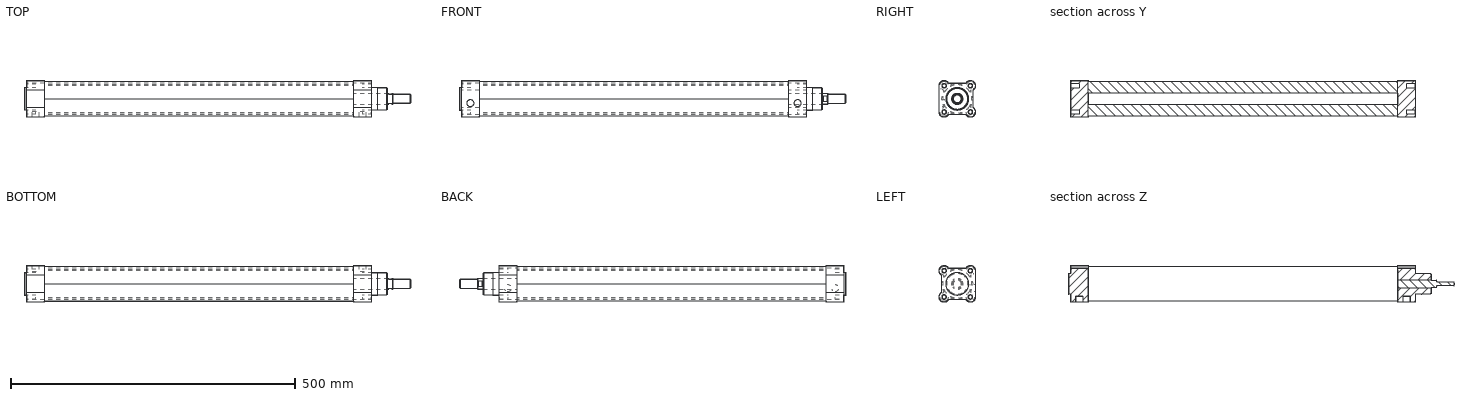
import cadquery as cq
import math

REAR_FACE = 3.5
CAP_LENGTH = 31.0
FRONT_FACE = 610.0
COLLAR_STEP = 621.0
COLLAR_END = 638.0
ROD_SHOULDER = 648.0
TIP = 679.0
TUBE_START = REAR_FACE + CAP_LENGTH
TUBE_END = FRONT_FACE - CAP_LENGTH

CAP_SIZE = 64.5
HALF_CAP = CAP_SIZE / 2
SCREW_SPACING = 46.0
SCREW_OFFSET = SCREW_SPACING / 2
LOBE_RADIUS = HALF_CAP - SCREW_OFFSET
CAP_RECESS = 4.5
HALF_BLOCK = HALF_CAP - CAP_RECESS

SCREW_HOLE_DIAMETER = 7.0
SCREW_HOLE_DEPTH = 15.5
SCREW_HOLE_CHAMFER = 1.0

PORT_DIAMETER = 12.0
PORT_DEPTH = 10.0
PORT_DROP = 7.5

BOSS_DIAMETER = 40.0
NOSE_DIAMETER = 39.5
COLLAR_CHAMFER = 1.5

TUBE_SIZE = 61.0
RIB_RADIUS = TUBE_SIZE / 2 - SCREW_OFFSET
BARREL_RADIUS = 27.0
BORE_RADIUS = 25.0
RIB_FILLET = 2.0
RIDGE_HALF_WIDTH = 5.1

ROD_DIAMETER = 20.0
ROD_CHAMFER = 1.5
FLAT_WIDTH = 17.0
FLAT_MARGIN = 2.0
THREAD_DIAMETER = 16.0
THREAD_CHAMFER = 1.5


def plane_at(x):
    """Plane across the axis at x, with local axes Y and Z."""
    return cq.Workplane("YZ", origin=(x, 0, 0))


def corner_points():
    """Places of the four corner screws in the YZ plane."""
    return [(y, z) for y in (-SCREW_OFFSET, SCREW_OFFSET) for z in (-SCREW_OFFSET, SCREW_OFFSET)]


def cap_block(start):
    """Cap with round corner lobes, recessed between them on every side but -Y."""
    block = plane_at(start).rect(2 * HALF_BLOCK, 2 * HALF_BLOCK).extrude(CAP_LENGTH)
    lobes = plane_at(start).pushPoints(corner_points()).circle(LOBE_RADIUS).extrude(CAP_LENGTH)
    port_pad = (
        plane_at(start)
        .center(-(HALF_CAP + SCREW_OFFSET) / 2, 0)
        .rect(LOBE_RADIUS, 2 * SCREW_OFFSET)
        .extrude(CAP_LENGTH)
    )
    port = (
        cq.Workplane("XZ", origin=(start + CAP_LENGTH / 2, -HALF_CAP, -PORT_DROP))
        .circle(PORT_DIAMETER / 2)
        .extrude(-PORT_DEPTH)
    )
    return block.union(lobes).union(port_pad).cut(port)


def screw_holes(face_x, direction):
    """Blind holes going in from a cap's outer face, each with a countersunk mouth."""
    mouth_radius = SCREW_HOLE_DIAMETER / 2 + SCREW_HOLE_CHAMFER
    holes = (
        plane_at(face_x)
        .pushPoints(corner_points())
        .circle(SCREW_HOLE_DIAMETER / 2)
        .extrude(direction * SCREW_HOLE_DEPTH)
    )
    mouths = (
        plane_at(face_x)
        .pushPoints(corner_points())
        .circle(mouth_radius)
        .extrude(direction * SCREW_HOLE_CHAMFER, taper=45)
    )
    return holes.union(mouths)


def make_rear_cap():
    boss = plane_at(0).circle(BOSS_DIAMETER / 2).extrude(REAR_FACE)
    return cap_block(REAR_FACE).union(boss).cut(screw_holes(REAR_FACE, 1))


def make_front_cap():
    collar_root = plane_at(FRONT_FACE).circle(BOSS_DIAMETER / 2).extrude(COLLAR_STEP - FRONT_FACE)
    collar_nose = (
        plane_at(COLLAR_STEP)
        .circle(NOSE_DIAMETER / 2)
        .extrude(COLLAR_END - COLLAR_STEP)
        .faces(">X")
        .chamfer(COLLAR_CHAMFER)
    )
    rod_bore = plane_at(TUBE_END).circle(ROD_DIAMETER / 2).extrude(COLLAR_END - TUBE_END)
    cap = cap_block(TUBE_END).union(collar_root).union(collar_nose)
    return cap.cut(screw_holes(FRONT_FACE, -1)).cut(rod_bore)


def rib_fillet(length):
    """Fill between the barrel and a rib straight above it (+Z), bounded by two hollow arcs."""
    rib_distance = SCREW_OFFSET * math.sqrt(2)
    arc_distance = BARREL_RADIUS + RIB_FILLET
    rib_to_arc = RIB_RADIUS + RIB_FILLET
    along = (arc_distance**2 + rib_distance**2 - rib_to_arc**2) / (2 * rib_distance)
    aside = math.sqrt(arc_distance**2 - along**2)
    arc_centers = [(-aside, along), (aside, along)]
    web = (
        plane_at(TUBE_START)
        .polyline([(0, 0), arc_centers[0], (0, rib_distance), arc_centers[1]])
        .close()
        .extrude(length)
    )
    return web.cut(plane_at(TUBE_START).pushPoints(arc_centers).circle(RIB_FILLET).extrude(length))


def barrel_ridge(length):
    """Low ridge along the +Z side of the barrel, whose two flats run tangent into it."""
    tangent_height = math.sqrt(BARREL_RADIUS**2 - RIDGE_HALF_WIDTH**2)
    crest = BARREL_RADIUS**2 / tangent_height
    left_edge = (-RIDGE_HALF_WIDTH, tangent_height)
    right_edge = (RIDGE_HALF_WIDTH, tangent_height)
    return (
        plane_at(TUBE_START)
        .polyline([(0, 0), right_edge, (0, crest), left_edge])
        .close()
        .extrude(length)
    )


def make_tube():
    length = TUBE_END - TUBE_START
    barrel = plane_at(TUBE_START).circle(BARREL_RADIUS).extrude(length)
    ribs = plane_at(TUBE_START).pushPoints(corner_points()).circle(RIB_RADIUS).extrude(length)
    outside = barrel.union(ribs)
    for quarter in range(4):
        turn = 90 * quarter
        outside = outside.union(rib_fillet(length).rotate((0, 0, 0), (1, 0, 0), turn + 45))
        outside = outside.union(barrel_ridge(length).rotate((0, 0, 0), (1, 0, 0), turn))
    return outside.cut(plane_at(TUBE_START).circle(BORE_RADIUS).extrude(length))


def wrench_flats():
    """Material taken off the -Y and +Y sides of the rod, just short of its shoulder."""
    start = COLLAR_END + FLAT_MARGIN
    length = ROD_SHOULDER - FLAT_MARGIN - start
    stock = plane_at(start).rect(2 * ROD_DIAMETER, 2 * ROD_DIAMETER).extrude(length)
    kept = plane_at(start).rect(FLAT_WIDTH, 2 * ROD_DIAMETER).extrude(length)
    return stock.cut(kept)


def make_rod():
    shank = (
        plane_at(TUBE_END)
        .circle(ROD_DIAMETER / 2)
        .extrude(ROD_SHOULDER - TUBE_END)
        .faces(">X")
        .chamfer(ROD_CHAMFER)
    )
    thread = (
        plane_at(ROD_SHOULDER)
        .circle(THREAD_DIAMETER / 2)
        .extrude(TIP - ROD_SHOULDER)
        .faces(">X")
        .chamfer(THREAD_CHAMFER)
    )
    return shank.cut(wrench_flats()).union(thread)


rear_cap = make_rear_cap()
tube = make_tube()
front_cap = make_front_cap()
rod = make_rod()

result = cq.Compound.makeCompound([rear_cap.val(), tube.val(), front_cap.val(), rod.val()])